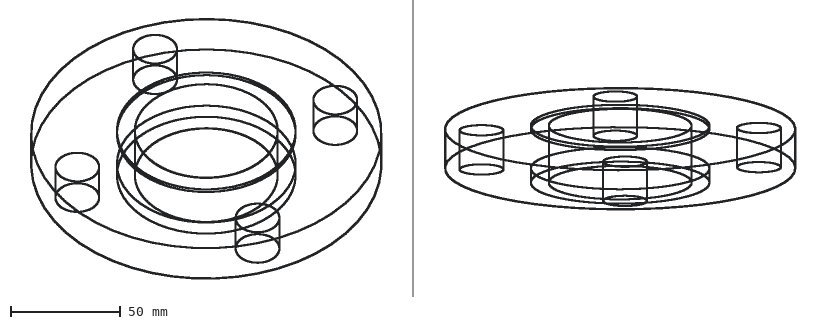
import cadquery as cq

flange_diameter = 159.5
flange_thickness = 18.3

hub_diameter = 81.4
hub_height = 6.7
raised_face_height = 1.6
bore_diameter = 65.1

bolt_count = 4
bolt_circle_diameter = 126.3
bolt_hole_diameter = 20.0
first_bolt_angle = 45.0

total_height = hub_height + flange_thickness + raised_face_height


def cylinder(diameter, bottom, height):
    """Upright cylinder centred on the Z axis."""
    return cq.Workplane("XY").workplane(offset=bottom).circle(diameter / 2).extrude(height)


def bolt_holes():
    """Through-hole cutters spaced evenly on the bolt circle."""
    return (
        cq.Workplane("XY")
        .polarArray(bolt_circle_diameter / 2, first_bolt_angle, 360, bolt_count)
        .circle(bolt_hole_diameter / 2)
        .extrude(total_height)
    )


flange = cylinder(flange_diameter, hub_height, flange_thickness)
hub = cylinder(hub_diameter, 0, total_height)
bore = cylinder(bore_diameter, 0, total_height)

result = flange.union(hub).cut(bore).cut(bolt_holes())